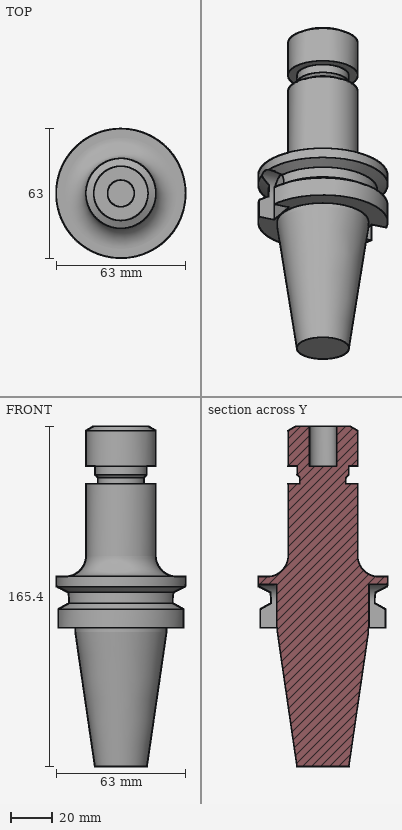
import cadquery as cq
import math


gauge_radius = 44.45 / 2
shank_length = 65.4
taper_per_length = 7 / 24
shank_end_radius = gauge_radius - shank_length * taper_per_length / 2

flange_radius = 63 / 2
flange_bottom_z = 2.0
flange_top_z = 27.0
groove_root_radius = 53 / 2
groove_middle_z = 16.6
groove_root_width = 5.2
groove_flank_angle = 30.0
groove_depth = flange_radius - groove_root_radius
groove_flank_height = groove_depth * math.tan(math.radians(groove_flank_angle))
groove_root_bottom_z = groove_middle_z - groove_root_width / 2
groove_root_top_z = groove_middle_z + groove_root_width / 2

slot_width = 16.1
slot_top_z = 23.0
slot_floor_x = 22.5
slot_arc_z = slot_top_z - slot_width / 2

body_radius = 34 / 2
body_top_z = 72.0
body_fillet = 10.0

neck_radius = 22.6 / 2
neck_top_z = 75.0
collar_radius = 25.2 / 2
collar_bottom_z = 76.3

nut_radius = body_radius
nut_bottom_z = 80.5
nut_top_z = 100.0
nut_face_radius = 26.4 / 2
nut_bevel_angle = 30.0
nut_bevel_height = (nut_radius - nut_face_radius) * math.tan(math.radians(nut_bevel_angle))

bore_diameter = 13.0
bore_depth = nut_top_z - nut_bottom_z


def turned_body():
    """Half outline in XZ, revolved about Z."""
    outline = (
        cq.Workplane("XZ")
        .moveTo(0, -shank_length)
        .lineTo(shank_end_radius, -shank_length)
        .lineTo(gauge_radius, 0)
        .lineTo(gauge_radius, flange_bottom_z)
        .lineTo(flange_radius, flange_bottom_z)
        .lineTo(flange_radius, groove_root_bottom_z - groove_flank_height)
        .lineTo(groove_root_radius, groove_root_bottom_z)
        .lineTo(groove_root_radius, groove_root_top_z)
        .lineTo(flange_radius, groove_root_top_z + groove_flank_height)
        .lineTo(flange_radius, flange_top_z)
        .lineTo(body_radius + body_fillet, flange_top_z)
        .radiusArc((body_radius, flange_top_z + body_fillet), body_fillet)
        .lineTo(body_radius, body_top_z)
        .lineTo(neck_radius, body_top_z)
        .lineTo(neck_radius, neck_top_z)
        .lineTo(collar_radius, collar_bottom_z)
        .lineTo(collar_radius, nut_bottom_z)
        .lineTo(nut_radius, nut_bottom_z)
        .lineTo(nut_radius, nut_top_z - nut_bevel_height)
        .lineTo(nut_face_radius, nut_top_z)
        .lineTo(0, nut_top_z)
        .close()
    )
    return outline.revolve(360, (0, 0, 0), (0, 1, 0))


def drive_slot(side):
    """Round-topped slot open at the flange underside; side is +1 or -1 along X."""
    half_width = slot_width / 2
    return (
        cq.Workplane("YZ", origin=(side * slot_floor_x, 0, 0))
        .moveTo(-half_width, flange_bottom_z)
        .lineTo(half_width, flange_bottom_z)
        .lineTo(half_width, slot_arc_z)
        .threePointArc((0, slot_top_z), (-half_width, slot_arc_z))
        .close()
        .extrude(side * flange_radius)
    )


def tool_bore():
    """Blind bore from the nut face."""
    return (
        cq.Workplane("XY", origin=(0, 0, nut_top_z))
        .circle(bore_diameter / 2)
        .extrude(-bore_depth)
    )


result = turned_body().cut(tool_bore())
for slot_side in (-1, 1):
    result = result.cut(drive_slot(slot_side))